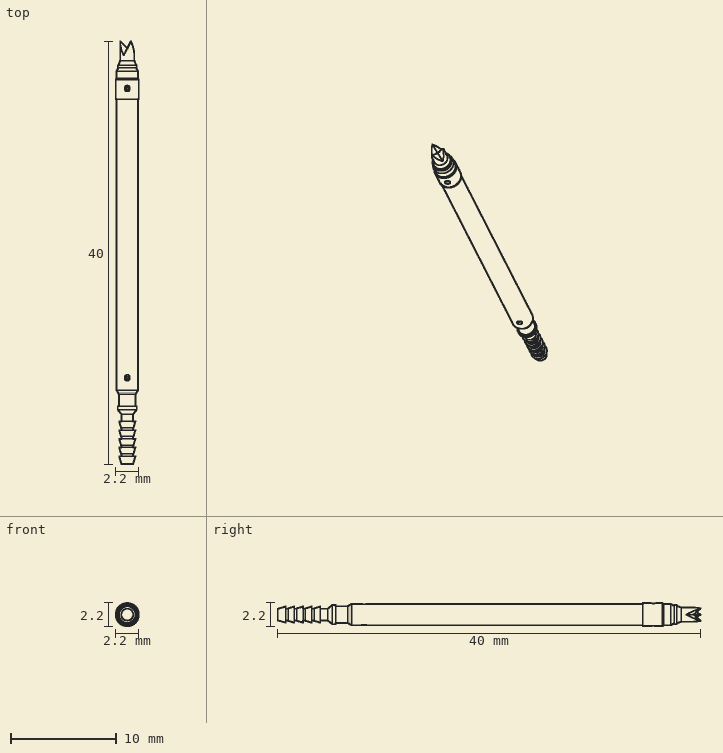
import cadquery as cq
import math

LENGTH = 40.0
TIP_Y = LENGTH / 2
TAIL_Y = -LENGTH / 2

HEAD_R = 2.2 / 2
BODY_R = 2.05 / 2
BODY_STEP_R = 0.9
TIP_R = 0.7
COLLAR_R = 0.85
TIP_RING_R = 0.9
STEM_R = 0.8
STEM_COLLAR_R = 0.9
NECK_R = 0.55
BARB_R = 1.55 / 2
BARB_END_R = 0.6

TIP_LENGTH = 1.85
RING_START = 2.3
RING_END = 2.5
NOSE_START = 2.85
HEAD_CHAMFER_START = 3.5
HEAD_START = 3.65
HEAD_END = 5.5

BODY_END = 7.0
BODY_STEP_END = 6.8
STEM_START = 6.6
STEM_COLLAR_START = 5.5
STEM_COLLAR_END = 5.15
NECK_START = 4.7

BARB_COUNT = 5
FIRST_BARB_CREST = 4.05
LAST_BARB_CREST = 0.75
BARB_PITCH = (FIRST_BARB_CREST - LAST_BARB_CREST) / (BARB_COUNT - 1)
BARB_LENGTH = 0.6

TOOTH_COUNT = 3
NOTCH_DEPTH = 2 * TIP_R
NOTCH_OVERSIZE = 3

DIMPLE_RIM_R = 0.3
DIMPLE_FLOOR_R = 0.1
DIMPLE_DEPTH = 0.15
HEAD_DIMPLE_FROM_TIP = 4.5
BODY_DIMPLE_FROM_TAIL = 8.15


def head_profile():
    """Radius and Y points from the crown tip to the rear of the head."""
    steps = [
        (0, 0),
        (TIP_R, 0),
        (TIP_R, TIP_LENGTH),
        (COLLAR_R, RING_START),
        (TIP_RING_R, RING_START),
        (TIP_RING_R, RING_END),
        (COLLAR_R, RING_END),
        (BODY_R, NOSE_START),
        (BODY_R, HEAD_CHAMFER_START),
        (HEAD_R, HEAD_START),
        (HEAD_R, HEAD_END),
        (BODY_R, HEAD_END),
    ]
    return [(radius, TIP_Y - distance) for radius, distance in steps]


def tail_profile():
    """Radius and Y points from the rear of the body to the tail end."""
    steps = [
        (BODY_R, BODY_END),
        (BODY_STEP_R, BODY_STEP_END),
        (STEM_R, STEM_START),
        (STEM_R, STEM_COLLAR_START),
        (STEM_COLLAR_R, STEM_COLLAR_START),
        (STEM_COLLAR_R, STEM_COLLAR_END),
        (NECK_R, NECK_START),
    ]
    for barb in reversed(range(BARB_COUNT)):
        crest = LAST_BARB_CREST + barb * BARB_PITCH
        steps += [(NECK_R, crest), (BARB_R, crest)]
        if barb > 0:
            steps.append((BARB_END_R, crest - BARB_LENGTH))
            steps.append((NECK_R, crest - BARB_LENGTH))
    steps += [(NECK_R, 0), (0, 0)]
    return [(radius, TAIL_Y + distance) for radius, distance in steps]


def turned_body():
    outline = cq.Workplane("XY").polyline(head_profile() + tail_profile()).close()
    return outline.revolve(360, (0, 0, 0), (0, 1, 0))


def crown_notch(angle):
    """Slanted V groove across the whole tip.

    Its bottom line starts at the tip of one tooth, crosses the axis at half depth and reaches full
    depth on the far side. Its flanks contain the tips of the other two teeth.
    """
    slant = math.atan(NOTCH_DEPTH / (2 * TIP_R))
    tooth_step = math.pi / TOOTH_COUNT
    axis_depth = NOTCH_DEPTH / 2
    tip_rise = TIP_R * math.cos(tooth_step) * math.sin(slant) + axis_depth * math.cos(slant)
    tip_half_width = TIP_R * math.sin(tooth_step)
    groove_rise = NOTCH_OVERSIZE * tip_rise
    half_width = NOTCH_OVERSIZE * tip_half_width
    across_bottom_line = cq.Plane(
        origin=(0, TIP_Y - axis_depth, 0),
        xDir=(math.sin(slant), math.cos(slant), 0),
        normal=(math.cos(slant), -math.sin(slant), 0),
    )
    vee_points = [(0, 0), (groove_rise, half_width), (groove_rise, -half_width)]
    vee = cq.Workplane(across_bottom_line).polyline(vee_points).close()
    groove = vee.extrude(NOTCH_OVERSIZE * NOTCH_DEPTH, both=True)
    return groove.rotate((0, 0, 0), (0, 1, 0), angle)


def dimple(y, surface_r):
    """Pair of cones that leave a tapered, flat-bottomed dimple in the top and in the underside."""
    slope = (DIMPLE_RIM_R - DIMPLE_FLOOR_R) / DIMPLE_DEPTH
    height = 2 * DIMPLE_DEPTH
    floor_z = surface_r - DIMPLE_DEPTH
    upper = cq.Workplane(
        cq.Solid.makeCone(
            DIMPLE_FLOOR_R,
            DIMPLE_FLOOR_R + slope * height,
            height,
            pnt=cq.Vector(0, y, floor_z),
            dir=cq.Vector(0, 0, 1),
        )
    )
    return upper.add(upper.mirror("XY")).combine()


result = turned_body()

for index in range(TOOTH_COUNT):
    result = result.cut(crown_notch(index * 360 / TOOTH_COUNT))

result = result.cut(dimple(TIP_Y - HEAD_DIMPLE_FROM_TIP, HEAD_R))
result = result.cut(dimple(TAIL_Y + BODY_DIMPLE_FROM_TAIL, BODY_R))